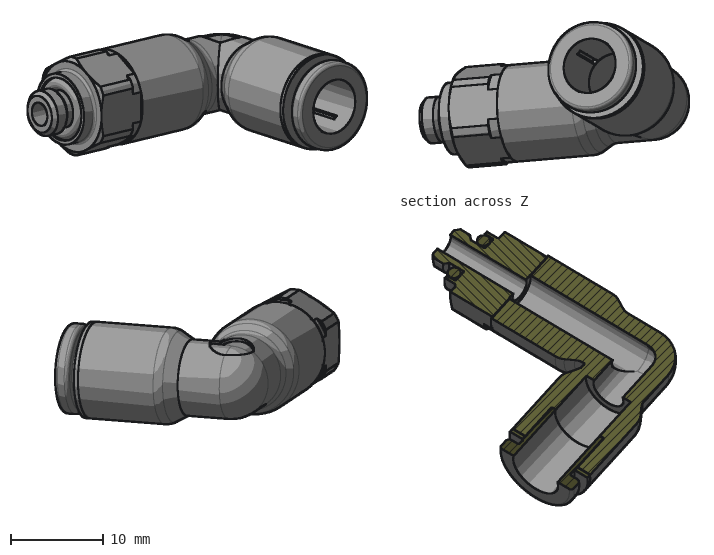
import cadquery as cq
import math


elbow_radius = 4.15
leg_radius = 5.25
shoulder_start = 4.75
shoulder_angle = math.radians(30)
shoulder_blend = 2.0
tube_leg_length = 15.78
stud_leg_length = 15.85
badge_radius = 2.4
badge_depth = 0.3

stud_bore_radius = 1.28
bend_bore_radius = 2.0
tube_radius = 3.0
tube_stop = 5.32

ring_length = 0.47
ring_end = tube_leg_length + ring_length

shank_radius = 3.5
shank_start = 10.95
lip_radius = 4.9
lip_start = 17.0
collet_end = 18.62
lip_root_fillet = 0.15
lip_back_round = 0.47
lip_front_round = 0.38
slot_width = 0.5
slot_end = ring_end + 0.1
slot_tilt = 45.0

hex_across_flats = 10.0
hex_corner_radius = 5.493
hex_relief_end = stud_leg_length + 1.13
hex_end = 21.5
hex_chamfer_length = 0.28
hex_face_radius = hex_corner_radius - hex_chamfer_length / math.tan(math.radians(30))
collar_radius = 3.9
collar_end = 23.07
collar_fillet = 0.28
thread_radius = 2.5
thread_chamfer = 0.47
neck_radius = thread_radius - thread_chamfer
neck_end = 23.82
stud_end = 31.3 - leg_radius

seal_end = 23.38
recess_radius = 3.47
seal_section_radius = (recess_radius - neck_radius) / 2
seal_mean_radius = (recess_radius + neck_radius) / 2
seal_centre = seal_end - seal_section_radius
recess_floor = seal_centre - seal_section_radius


def turn(profile):
    """Revolve a closed axial/radial profile about the X axis."""
    return profile.close().revolve(360, (0, 0, 0), (1, 0, 0))


def rod(radius, start, end):
    """Plain cylinder along the X axis."""
    return cq.Workplane("YZ", origin=(start, 0, 0)).circle(radius).extrude(end - start)


def swing_to_stud_leg(shape):
    """Turn a piece drawn along +X so that it points along -Y."""
    return shape.rotate((0, 0, 0), (0, 0, 1), -90)


def make_bend(radius, leg_length):
    """Round bend with a spherical corner at the origin and two equal legs."""
    leg = rod(radius, 0, leg_length)
    return cq.Workplane("XY").sphere(radius).union(leg).union(swing_to_stud_leg(leg))


def make_leg(length, blended_root):
    """Thin leg widening over a cone to the thick leg; the cone root is sharp or blended."""
    slope_x = math.cos(shoulder_angle)
    slope_r = math.sin(shoulder_angle)
    tangent_length = shoulder_blend * math.tan(shoulder_angle / 2)
    shoulder_end = shoulder_start + (leg_radius - elbow_radius) / math.tan(shoulder_angle)

    profile = cq.Workplane("XY").lineTo(0, elbow_radius)
    if blended_root:
        root_end = (shoulder_start + tangent_length * slope_x, elbow_radius + tangent_length * slope_r)
        profile = profile.lineTo(shoulder_start - tangent_length, elbow_radius)
        profile = profile.tangentArcPoint(root_end, relative=False)
    else:
        profile = profile.lineTo(shoulder_start, elbow_radius)
    profile = (
        profile
        .lineTo(shoulder_end - tangent_length * slope_x, leg_radius - tangent_length * slope_r)
        .tangentArcPoint((shoulder_end + tangent_length, leg_radius), relative=False)
        .lineTo(length, leg_radius)
        .lineTo(length, 0)
    )
    return turn(profile)


def make_housing():
    """Elbow with spherical bend, flow passage, tube socket and collet bore."""
    tube_leg = make_leg(tube_leg_length, blended_root=False)
    stud_leg = swing_to_stud_leg(make_leg(stud_leg_length, blended_root=True))
    outside = cq.Workplane("XY").sphere(elbow_radius).union(tube_leg).union(stud_leg)

    badge_floor = make_bend(elbow_radius - badge_depth, elbow_radius)
    badge = cq.Workplane("XY").circle(badge_radius).extrude(elbow_radius).cut(badge_floor)
    passage = (
        make_bend(bend_bore_radius, stud_leg_length)
        .union(rod(tube_radius, tube_stop, tube_leg_length))
        .union(rod(shank_radius, shank_start, tube_leg_length))
    )
    return outside.cut(badge).cut(passage)


def make_end_ring():
    """Ring that closes the tube leg flush with its outside."""
    outside = rod(leg_radius, tube_leg_length, ring_end)
    return outside.cut(rod(shank_radius, tube_leg_length, ring_end))


def make_collet():
    """Release collet: slotted shank, rounded press lip and a bore for the tube."""
    lip = (
        rod(lip_radius, lip_start, collet_end)
        .faces("<X").edges().fillet(lip_back_round)
        .faces(">X").edges().fillet(lip_front_round)
    )
    slot_length = slot_end - shank_start
    slot = (
        cq.Workplane("XY")
        .box(slot_length, slot_width, 2 * lip_radius, centered=(False, True, True))
        .translate((shank_start, 0, 0))
        .rotate((0, 0, 0), (1, 0, 0), slot_tilt)
    )
    shank = turn(
        cq.Workplane("XY")
        .moveTo(shank_start, 0)
        .lineTo(shank_start, shank_radius)
        .lineTo(lip_start - lip_root_fillet, shank_radius)
        .tangentArcPoint((lip_start, shank_radius + lip_root_fillet), relative=False)
        .lineTo(lip_start, 0)
    )
    return lip.union(shank.cut(slot)).cut(rod(tube_radius, shank_start, collet_end))


def make_stud_hexagon():
    """Hexagon with turned-down corners, a relief at the housing and a chamfered face."""
    hexagon = (
        cq.Workplane("YZ", origin=(stud_leg_length, 0, 0))
        .polygon(6, hex_across_flats, circumscribed=True)
        .extrude(hex_end - stud_leg_length)
    )
    envelope = turn(
        cq.Workplane("XY")
        .moveTo(stud_leg_length, 0)
        .lineTo(stud_leg_length, leg_radius)
        .lineTo(hex_relief_end, leg_radius)
        .lineTo(hex_relief_end, hex_corner_radius)
        .lineTo(hex_end - hex_chamfer_length, hex_corner_radius)
        .lineTo(hex_end, hex_face_radius)
        .lineTo(hex_end, 0)
    )
    return hexagon.intersect(envelope)


def make_stud():
    """Hexagon, collar with O-ring recess, undercut neck and thread, bored through."""
    hexagon = make_stud_hexagon()
    collar_root = hex_end + collar_fillet
    arc_middle = collar_fillet * (1 - math.sqrt(0.5))
    spigot = turn(
        cq.Workplane("XY")
        .moveTo(hex_end, 0)
        .lineTo(hex_end, collar_radius + collar_fillet)
        .threePointArc((hex_end + arc_middle, collar_radius + arc_middle), (collar_root, collar_radius))
        .lineTo(collar_end, collar_radius)
        .lineTo(collar_end, recess_radius)
        .lineTo(recess_floor, recess_radius)
        .lineTo(recess_floor, neck_radius)
        .lineTo(neck_end, neck_radius)
        .lineTo(neck_end + thread_chamfer, thread_radius)
        .lineTo(stud_end - thread_chamfer, thread_radius)
        .lineTo(stud_end, thread_radius - thread_chamfer)
        .lineTo(stud_end, 0)
    )
    bore = rod(stud_bore_radius, stud_leg_length, stud_end)
    return swing_to_stud_leg(hexagon.union(spigot).cut(bore))


def make_seal():
    """O-ring around the stud neck."""
    seal = (
        cq.Workplane("XY")
        .moveTo(seal_centre, seal_mean_radius)
        .circle(seal_section_radius)
        .revolve(360, (0, 0, 0), (1, 0, 0))
    )
    return swing_to_stud_leg(seal)


housing = make_housing()
end_ring = make_end_ring()
collet = make_collet()
stud = make_stud()
seal = make_seal()

result = cq.Compound.makeCompound([
    housing.solids().val(),
    end_ring.solids().val(),
    collet.solids().val(),
    stud.solids().val(),
    seal.solids().val(),
])